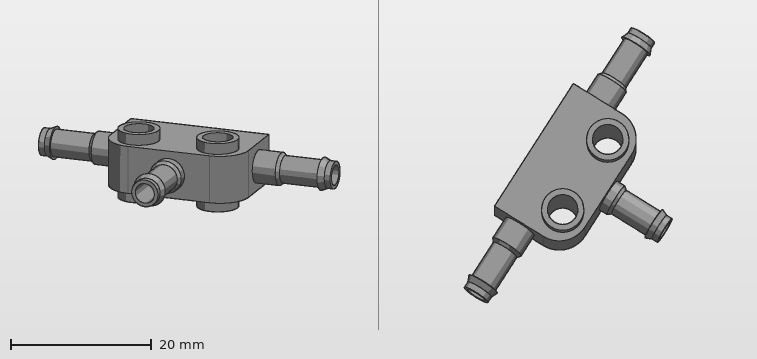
import cadquery as cq

BODY_WIDTH = 21.0
BODY_DEPTH = 12.5
BODY_HEIGHT = 7.0
CORNER_RADIUS = 4.3
PORT_AXIS_TO_BACK = 4.3

OVERALL_HEIGHT = 10.2
BOSS_DIAMETER = 6.02
BOSS_HOLE_DIAMETER = 4.3
BOSS_SPACING = 12.0
BOSS_TO_PORT_AXIS = 4.33

OVERALL_LENGTH = 44.4
OVERALL_DEPTH = 22.0
COLLAR_DIAMETER = 4.8
NECK_DIAMETER = 4.0
BARB_DIAMETER = 4.8
BORE_DIAMETER = 2.9
TIP_TO_BARB_START = 0.9
TIP_TO_BARB_CREST = 1.85
TIP_TO_NECK_END = 7.7
TIP_TO_COLLAR = 8.2

BODY_BACK_Y = PORT_AXIS_TO_BACK
BODY_FRONT_Y = BODY_BACK_Y - BODY_DEPTH
SIDE_PORT_REACH = OVERALL_LENGTH / 2
FRONT_PORT_REACH = OVERALL_DEPTH - PORT_AXIS_TO_BACK

PORTS = [
    (0, SIDE_PORT_REACH),
    (180, SIDE_PORT_REACH),
    (-90, FRONT_PORT_REACH),
]


def make_body():
    """Block with its two front vertical edges rounded."""
    return (
        cq.Workplane("XY")
        .box(BODY_WIDTH, BODY_DEPTH, BODY_HEIGHT)
        .edges("|Z and <Y")
        .fillet(CORNER_RADIUS)
        .translate((0, (BODY_BACK_Y + BODY_FRONT_Y) / 2, 0))
    )


def make_boss_cylinders(diameter):
    """Full-height cylinders of the given diameter on the two boss axes."""
    half_spacing = BOSS_SPACING / 2
    centres = [(x, -BOSS_TO_PORT_AXIS) for x in (-half_spacing, half_spacing)]
    return (
        cq.Workplane("XY")
        .workplane(offset=-OVERALL_HEIGHT / 2)
        .pushPoints(centres)
        .circle(diameter / 2)
        .extrude(OVERALL_HEIGHT)
    )


def make_port(angle, reach):
    """Barbed hose stub from the origin out to the given reach."""
    return (
        cq.Workplane("XY")
        .moveTo(0, 0)
        .lineTo(0, COLLAR_DIAMETER / 2)
        .lineTo(reach - TIP_TO_COLLAR, COLLAR_DIAMETER / 2)
        .lineTo(reach - TIP_TO_NECK_END, NECK_DIAMETER / 2)
        .lineTo(reach - TIP_TO_BARB_CREST, NECK_DIAMETER / 2)
        .lineTo(reach - TIP_TO_BARB_CREST, BARB_DIAMETER / 2)
        .lineTo(reach - TIP_TO_BARB_START, NECK_DIAMETER / 2)
        .lineTo(reach, NECK_DIAMETER / 2)
        .lineTo(reach, 0)
        .close()
        .revolve(360, (0, 0, 0), (1, 0, 0))
        .rotate((0, 0, 0), (0, 0, 1), angle)
    )


def make_bore(angle, reach):
    """Flow passage from the origin out through the tip of a port."""
    return (
        cq.Workplane("YZ")
        .circle(BORE_DIAMETER / 2)
        .extrude(reach)
        .rotate((0, 0, 0), (0, 0, 1), angle)
    )


result = make_body().union(make_boss_cylinders(BOSS_DIAMETER))
for port_angle, port_reach in PORTS:
    result = result.union(make_port(port_angle, port_reach))
for port_angle, port_reach in PORTS:
    result = result.cut(make_bore(port_angle, port_reach))
result = result.cut(make_boss_cylinders(BOSS_HOLE_DIAMETER))